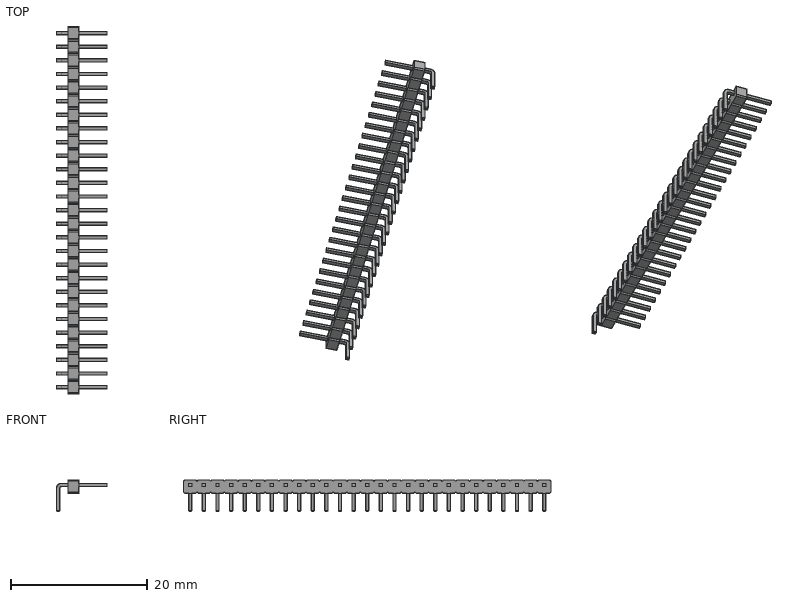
import cadquery as cq

pin_count = 27
row_length = 54.0
pitch = row_length / pin_count
overall_height = 4.65
overall_width = 7.45

housing_width = 1.6
housing_height = 2.0
housing_chamfer = 0.2

pin_side = 0.5
pin_axis_depth = 0.75
bend_inner_radius = 0.25
bend_outer_radius = bend_inner_radius + pin_side
tip_chamfer = 0.135
housing_offset = 1.7

housing_top = pin_axis_depth
housing_bottom = housing_top - housing_height
tip_z = housing_top - overall_height
leg_x = -housing_width / 2 - housing_offset
pin_end_x = leg_x + overall_width
pin_top = pin_side / 2


def make_housing_segment():
    """One housing cell: a block with its four X-direction edges chamfered."""
    return (
        cq.Workplane("XY")
        .box(housing_width, pitch, housing_height)
        .edges("|X")
        .chamfer(housing_chamfer)
        .translate((0, 0, (housing_top + housing_bottom) / 2))
    )


def make_pin():
    """One square pin: a vertical leg, a rounded bend and a horizontal arm."""
    blank = (
        cq.Workplane("XZ")
        .moveTo(leg_x, tip_z)
        .lineTo(leg_x, pin_top)
        .lineTo(pin_end_x, pin_top)
        .lineTo(pin_end_x, pin_top - pin_side)
        .lineTo(leg_x + pin_side, pin_top - pin_side)
        .lineTo(leg_x + pin_side, tip_z)
        .close()
        .extrude(pin_side / 2, both=True)
    )
    outer_corner = cq.selectors.NearestToPointSelector((leg_x, 0, pin_top))
    inner_corner = cq.selectors.NearestToPointSelector((leg_x + pin_side, 0, pin_top - pin_side))
    return (
        blank.edges("|Y").edges(outer_corner).fillet(bend_outer_radius)
        .edges("|Y").edges(inner_corner).fillet(bend_inner_radius)
        .faces("<Z").edges().chamfer(tip_chamfer)
    )


cell = make_housing_segment().union(make_pin())
result = cell.translate((0, -(pin_count - 1) / 2 * pitch, 0))
for index in range(1, pin_count):
    cell_y = (index - (pin_count - 1) / 2) * pitch
    result = result.union(cell.translate((0, cell_y, 0)))